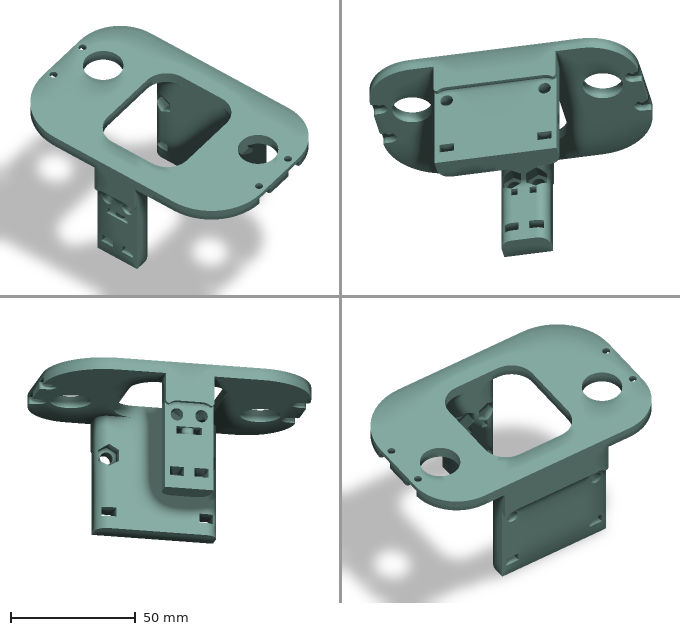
import cadquery as cq
import math

plate_length = 110.0
plate_width = 70.0
plate_thickness = 5.0
back_corner_radius = 20.0
front_corner_radius = 25.0
overall_height = 52.5

window_length = 40.0
window_width = 46.0
window_corner_radius = 10.0

port_diameter = 16.3
port_x = 39.0
port_y = 9.0

end_hole_diameter = 3.2
end_hole_inset = 3.2
end_hole_ys = (12.1, -7.2)
end_slot_width = 6.2
end_slot_depth = 3.0
end_slot_mouth_radius = 1.0

front_leg_width = 20.0
back_leg_width = 50.0
leg_thickness = 10.0
leg_corner_radius = 5.0
leg_inner_y = window_width / 2
leg_outer_y = leg_inner_y + leg_thickness

bolt_diameter = 5.2
bolt_z = -21.5
bolt_head_clearance = 10.5
nut_across_flats = 8.0
nut_pocket_depth = 5.0
opening_length = 5.9
opening_height = 3.7
opening_z = -45.4

flange_bottom_z = -17.5
flange_corner_radius = 1.3

strap_slot_length = 10.3
strap_slot_height = 3.1
strap_slot_z = -27.9
strap_bar_width = 5.0
strap_bar_recess = 1.0
strap_bar_shoulder_radius = 2.0


def make_plate():
    plate = cq.Workplane("XY").box(
        plate_length, plate_width, plate_thickness, centered=(True, True, False)
    )
    plate = plate.edges("|Z and >Y").fillet(back_corner_radius)
    plate = plate.edges("|Z and <Y").fillet(front_corner_radius)
    return plate.translate((0, 0, -plate_thickness))


def make_window():
    window = cq.Workplane("XY").rect(window_length, window_width).extrude(-plate_thickness)
    return window.edges("|Z").fillet(window_corner_radius)


def make_ports():
    centres = [(-port_x, port_y), (port_x, port_y)]
    return (
        cq.Workplane("XY").pushPoints(centres).circle(port_diameter / 2).extrude(-plate_thickness)
    )


def make_end_fixing(hole_y):
    """Screw hole at the -X end with a round-ended slot whose mouth flares at the end face."""
    end_x = -plate_length / 2
    hole_x = end_x + end_hole_inset
    half_width = end_slot_width / 2
    mouth_x = end_x + end_slot_mouth_radius
    half_mouth = half_width + end_slot_mouth_radius
    flare_offset = end_slot_mouth_radius * (1 - math.sqrt(0.5))
    flare_x = end_x + flare_offset
    half_flare = half_width + flare_offset

    slot = (
        cq.Workplane("XY", origin=(0, hole_y, -plate_thickness))
        .moveTo(end_x, half_mouth)
        .threePointArc((flare_x, half_flare), (mouth_x, half_width))
        .lineTo(hole_x, half_width)
        .threePointArc((hole_x + half_width, 0), (hole_x, -half_width))
        .lineTo(mouth_x, -half_width)
        .threePointArc((flare_x, -half_flare), (end_x, -half_mouth))
        .close()
        .extrude(end_slot_depth)
    )
    hole = (
        cq.Workplane("XY")
        .center(hole_x, hole_y)
        .circle(end_hole_diameter / 2)
        .extrude(-plate_thickness)
    )
    return slot.union(hole)


def y_prism(sketch, start_y, end_y):
    """Extrude an XZ sketch drawn on the Y = 0 plane so that it spans start_y to end_y."""
    return sketch.extrude(start_y - end_y).translate((0, start_y, 0))


def make_leg(width):
    """Leg on the +Y side, with its flange and fixings."""
    bolt_x = width / 2 - leg_corner_radius
    flange_y = plate_width / 2
    sides = [(-bolt_x, 0), (bolt_x, 0)]

    leg = (
        cq.Workplane("XY")
        .box(width, leg_thickness, overall_height, centered=(True, False, False))
        .edges("|Z and <Y")
        .fillet(leg_corner_radius)
        .translate((0, leg_inner_y, -overall_height))
    )

    flange_sketch = cq.Workplane("XZ").center(0, flange_bottom_z / 2).rect(width, -flange_bottom_z)
    flange = y_prism(flange_sketch, leg_outer_y, flange_y)
    flange = flange.edges("|Y and <Z").fillet(flange_corner_radius)
    clearance_sketch = (
        cq.Workplane("XZ")
        .center(0, bolt_z)
        .slot2D(2 * bolt_x + bolt_head_clearance, bolt_head_clearance)
    )
    flange = flange.cut(y_prism(clearance_sketch, leg_outer_y, flange_y))

    bolt_sketch = cq.Workplane("XZ").center(0, bolt_z).pushPoints(sides).circle(bolt_diameter / 2)
    bolts = y_prism(bolt_sketch, leg_inner_y, leg_outer_y)

    opening_sketch = (
        cq.Workplane("XZ")
        .center(0, opening_z)
        .pushPoints(sides)
        .rect(opening_length, opening_height)
    )
    openings = y_prism(opening_sketch, leg_inner_y, leg_outer_y)

    leg = leg.union(flange).cut(bolts).cut(openings)
    nut_corner_diameter = nut_across_flats / math.cos(math.pi / 6)
    for side_x in (-bolt_x, bolt_x):
        nut_sketch = cq.Workplane("XZ").polygon(6, nut_corner_diameter)
        nut = y_prism(nut_sketch, leg_inner_y, leg_inner_y + nut_pocket_depth)
        nut = nut.rotate((0, 0, 0), (0, 1, 0), 30)
        leg = leg.cut(nut.translate((side_x, 0, bolt_z)))
    return leg


def make_strap_slot():
    """Slot through the front leg, less the bar left standing in its middle."""
    slot = cq.Workplane("XY").box(
        strap_slot_length, leg_thickness, strap_slot_height, centered=(True, False, True)
    )
    bar = (
        cq.Workplane("XY")
        .box(
            strap_bar_width,
            leg_thickness - strap_bar_recess,
            strap_slot_height,
            centered=(True, False, True),
        )
        .edges("|Z and <Y")
        .fillet(strap_bar_shoulder_radius)
        .translate((0, strap_bar_recess, 0))
    )
    return slot.cut(bar).translate((0, -leg_outer_y, strap_slot_z))


back_leg = make_leg(back_leg_width)
front_leg = make_leg(front_leg_width).mirror("XZ").cut(make_strap_slot())

result = make_plate().union(back_leg).union(front_leg)
result = result.cut(make_window()).cut(make_ports())
for hole_y in end_hole_ys:
    end_fixing = make_end_fixing(hole_y)
    result = result.cut(end_fixing).cut(end_fixing.mirror("YZ"))